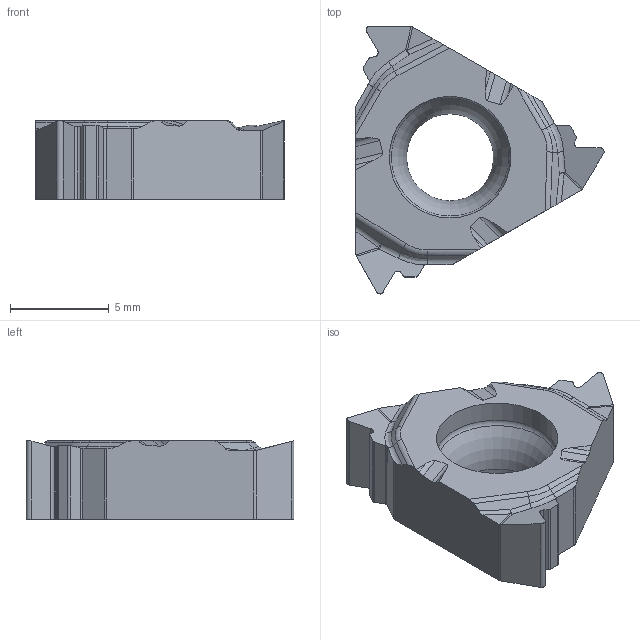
import cadquery as cq
import math

THICKNESS = 3.97
LOBES = 3
INSCRIBED_RADIUS = 9.525 / 2
SIDE_TILT = 30.0
OVERSIZE = 12.0

TIP_X = -3.56
TIP_Y = -6.914
TIP_RADIUS = 0.20
OUTER_FLANK_ANGLE = 28.9
INNER_FLANK_ANGLE = 30.0
GROOVE_Y = -5.77
GROOVE_RADIUS = 0.18
GROOVE_WALL_ANGLE = 37.0
LAND_Y = -6.056
LAND_LEFT_X = -2.33
LAND_RIGHT_X = -1.65
LAND_CORNER_RADIUS = 0.12
SHOULDER_Y = -5.43
SHOULDER_RADIUS = 0.13
SIDE_CORNER_RADIUS = 0.25

RAKE_ANGLE = 14.5
RELIEF_Z = 3.47
RELIEF_ANGLE = 4.6

PAD_LINE_Y = -4.85
PAD_CORNER_X = -1.77
PAD_SLANT_ANGLE = 32.0
PAD_CORNER_RADIUS = 2.2
PAD_WALL_ANGLE = 45.0
PAD_TOP_RADIUS = 0.38
VALLEY_RADIUS = 0.33
PAD_DEPTH = 1.0
LOBE_REACH = 6.0
CORE_REACH = LOBE_REACH + 1.0
VALLEY_MARGIN = 0.09

HOLE_RADIUS = 4.4 / 2
COUNTERBORE_RADIUS = 6.15 / 2
COUNTERBORE_DEPTH = 1.06
SEAT_ANGLE = 40.0
SEAT_BLEND_RADIUS = 0.42

NOTCH_ANGLE = 14.0
NOTCH_END = (-3.49, 0.53)
NOTCH_RAMP_ANGLE = 11.0
NOTCH_FLOOR_WIDTH = 0.94
NOTCH_WALL_ANGLE = 50.0
NOTCH_FLOOR_RADIUS = 0.42
NOTCH_SECTION_HEIGHT = 1.0
NOTCH_LENGTH = 2.5


def tan(degrees):
    return math.tan(math.radians(degrees))


def sin(degrees):
    return math.sin(math.radians(degrees))


def cos(degrees):
    return math.cos(math.radians(degrees))


def rotate_point(x, y, degrees):
    return (x * cos(degrees) - y * sin(degrees), x * sin(degrees) + y * cos(degrees))


def spin(body, index):
    """Turn a body from the lobe pointing toward -Y to another lobe."""
    return body.rotate((0, 0, 0), (0, 0, 1), index * 360 / LOBES)


def rounded_outline(corners, z=0):
    """Closed outline through (x, y, radius) corners; radius 0 keeps a corner sharp."""
    points = [cq.Vector(x, y, z) for x, y, _ in corners]
    starts = []
    ends = []
    arcs = {}
    for i, here in enumerate(points):
        radius = corners[i][2]
        before = (points[i - 1] - here).normalized()
        after = (points[(i + 1) % len(points)] - here).normalized()
        half_angle = before.getAngle(after) / 2
        tangent_length = radius / math.tan(half_angle)
        starts.append(here + before * tangent_length)
        ends.append(here + after * tangent_length)
        if radius > 0:
            bisector = (before + after).normalized()
            middle = here + bisector * (radius / math.sin(half_angle) - radius)
            arcs[i] = cq.Edge.makeThreePointArc(starts[i], middle, ends[i])
    edges = []
    for i, start in enumerate(starts):
        edges.append(cq.Edge.makeLine(ends[i - 1], start))
        if i in arcs:
            edges.append(arcs[i])
    return cq.Workplane("XY", origin=(0, 0, z)).add(cq.Wire.assembleEdges(edges)).toPending()


def lobe_corners():
    """Sharp corners and their radii for the lobe pointing toward -Y."""
    tip_half_angle = (OUTER_FLANK_ANGLE + INNER_FLANK_ANGLE) / 2
    tip_sharp_y = TIP_Y - TIP_RADIUS * (1 / sin(tip_half_angle) - 1)
    side_end_y = tip_sharp_y + (TIP_X + INSCRIBED_RADIUS) / tan(OUTER_FLANK_ANGLE)
    groove_left_x = TIP_X + (GROOVE_Y - tip_sharp_y) * tan(INNER_FLANK_ANGLE)
    groove_right_x = LAND_LEFT_X - (GROOVE_Y - LAND_Y) * tan(GROOVE_WALL_ANGLE)
    land_foot_x = LAND_RIGHT_X + (SHOULDER_Y - LAND_Y) * tan(INNER_FLANK_ANGLE)
    shoulder_end_x = (INSCRIBED_RADIUS + SHOULDER_Y * cos(SIDE_TILT)) / sin(SIDE_TILT)
    return [
        (-INSCRIBED_RADIUS, side_end_y, SIDE_CORNER_RADIUS),
        (TIP_X, tip_sharp_y, TIP_RADIUS),
        (groove_left_x, GROOVE_Y, GROOVE_RADIUS),
        (groove_right_x, GROOVE_Y, GROOVE_RADIUS),
        (LAND_LEFT_X, LAND_Y, LAND_CORNER_RADIUS),
        (LAND_RIGHT_X, LAND_Y, LAND_CORNER_RADIUS),
        (land_foot_x, SHOULDER_Y, SHOULDER_RADIUS),
        (shoulder_end_x, SHOULDER_Y, SIDE_CORNER_RADIUS),
    ]


def make_blank():
    """Full-height prism with the outline of all lobes."""
    corners = []
    for index in range(LOBES):
        for x, y, radius in lobe_corners():
            corners.append((*rotate_point(x, y, index * 360 / LOBES), radius))
    return rounded_outline(corners).extrude(THICKNESS)


def lobe_box(reach):
    """Slab below the top face on the lobe's half of the part."""
    return (
        cq.Workplane("XY", origin=(0, -OVERSIZE / 2, THICKNESS - PAD_DEPTH))
        .rect(2 * reach, OVERSIZE)
        .extrude(PAD_DEPTH)
    )


def make_pad_core():
    """Tapered body whose wall faces the lobe; it widens downward from the top face."""
    slant_left_y = PAD_LINE_Y + (PAD_CORNER_X + OVERSIZE) * tan(PAD_SLANT_ANGLE)
    top_edge = rounded_outline([
        (-OVERSIZE, slant_left_y, 0),
        (PAD_CORNER_X, PAD_LINE_Y, PAD_CORNER_RADIUS),
        (OVERSIZE, PAD_LINE_Y, 0),
        (OVERSIZE, OVERSIZE, 0),
        (-OVERSIZE, OVERSIZE, 0),
    ], THICKNESS)
    core = top_edge.extrude(-PAD_DEPTH, taper=-PAD_WALL_ANGLE)
    core = core.intersect(lobe_box(CORE_REACH))
    return core.faces(">Z").edges("not(|Y or >Y)").fillet(PAD_TOP_RADIUS)


def above_plane(point, tilt_axis, tilt):
    """Large block resting on the horizontal plane through a point, tilted about an axis there."""
    width = 4 * OVERSIZE
    block = cq.Workplane("XY").box(width, width, OVERSIZE, centered=(True, True, False))
    return block.rotate((0, 0, 0), tilt_axis, tilt).translate(point)


def make_lobe_cut():
    """Space above the tooth face and the relief plane, outside the centre pad."""
    above_rake = above_plane((TIP_X, TIP_Y, THICKNESS), (1, 0, 0), -RAKE_ANGLE)
    above_relief = above_plane((-INSCRIBED_RADIUS, 0, RELIEF_Z), (0, 1, 0), RELIEF_ANGLE)
    floor_space = lobe_box(LOBE_REACH).intersect(above_rake).intersect(above_relief)
    space = floor_space.cut(make_pad_core())
    valley_edges = [
        edge for edge in space.edges().vals()
        if edge.Center().z < RELIEF_Z + VALLEY_MARGIN and abs(edge.Center().x) < LOBE_REACH - VALLEY_MARGIN
    ]
    return space.newObject(valley_edges).fillet(VALLEY_RADIUS)


def make_screw_hole():
    """Counterbore, blend, bulging seat and bore, revolved about Z."""
    blend_end_radius = COUNTERBORE_RADIUS - SEAT_BLEND_RADIUS * (1 - cos(SEAT_ANGLE))
    blend_start_z = THICKNESS - COUNTERBORE_DEPTH
    blend_end_z = blend_start_z - SEAT_BLEND_RADIUS * sin(SEAT_ANGLE)
    seat_radius = (blend_end_radius - HOLE_RADIUS) / (1 - cos(SEAT_ANGLE))
    seat_end_z = blend_end_z - seat_radius * sin(SEAT_ANGLE)
    half = SEAT_ANGLE / 2
    blend_middle = (
        COUNTERBORE_RADIUS - SEAT_BLEND_RADIUS * (1 - cos(half)),
        blend_start_z - SEAT_BLEND_RADIUS * sin(half),
    )
    seat_middle = (HOLE_RADIUS + seat_radius * (1 - cos(half)), seat_end_z + seat_radius * sin(half))
    return (
        cq.Workplane("XZ")
        .moveTo(0, THICKNESS)
        .lineTo(COUNTERBORE_RADIUS, THICKNESS)
        .lineTo(COUNTERBORE_RADIUS, blend_start_z)
        .threePointArc(blend_middle, (blend_end_radius, blend_end_z))
        .threePointArc(seat_middle, (HOLE_RADIUS, seat_end_z))
        .lineTo(HOLE_RADIUS, 0)
        .lineTo(0, 0)
        .close()
        .revolve()
    )


def make_side_notch():
    """Flared trapezoid swept along a ramp that runs out at the top face near the hole."""
    wall_spread = NOTCH_SECTION_HEIGHT * tan(NOTCH_WALL_ANGLE)
    half_floor = NOTCH_FLOOR_WIDTH / 2
    section = (
        cq.Workplane("YZ")
        .polyline([
            (-half_floor, 0),
            (half_floor, 0),
            (half_floor + wall_spread, NOTCH_SECTION_HEIGHT),
            (-half_floor - wall_spread, NOTCH_SECTION_HEIGHT),
        ])
        .close()
        .extrude(-NOTCH_LENGTH)
        .edges("|X and <Z")
        .fillet(NOTCH_FLOOR_RADIUS)
    )
    return (
        section.rotate((0, 0, 0), (0, 1, 0), -NOTCH_RAMP_ANGLE)
        .rotate((0, 0, 0), (0, 0, 1), NOTCH_ANGLE)
        .translate((*NOTCH_END, THICKNESS))
    )


lobe_cut = make_lobe_cut()
notch = make_side_notch()
result = make_blank().cut(make_screw_hole())
for lobe in range(LOBES):
    result = result.cut(spin(lobe_cut, lobe))
    result = result.cut(spin(notch, lobe))